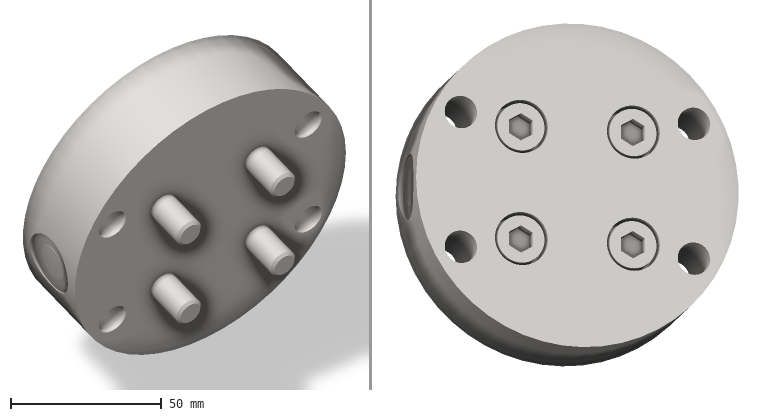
import cadquery as cq
import math

disc_diameter = 110.0
disc_thickness = 30.0

mount_hole_diameter = 11.0
mount_circle_radius = 45.9
mount_angle = 30.0

screw_spacing = 38.2
shank_diameter = 10.0
shank_projection = 15.6
shank_chamfer = 1.0
head_diameter = 16.1
head_recess = 0.7
counterbore_diameter = 18.0
head_height = 10.0
hex_across_flats = 8.0
hex_depth = 5.0

spotface_diameter = 22.0
spotface_depth = 1.5
plug_diameter = 13.1
plug_proud = 0.1

mount_y = mount_circle_radius * math.cos(math.radians(mount_angle))
mount_z = mount_circle_radius * math.sin(math.radians(mount_angle))
screw_offset = screw_spacing / 2
counterbore_depth = head_recess + head_height
shank_length = disc_thickness - counterbore_depth + shank_projection
hex_across_corners = hex_across_flats / math.cos(math.pi / 6)


def four_corners(y, z):
    """Corners of a rectangle centred on the disc axis."""
    return [(side_y * y, side_z * z) for side_y in (-1, 1) for side_z in (-1, 1)]


def cylinder(start, direction, diameter, length):
    """Solid cylinder from a start point along a direction."""
    solid = cq.Solid.makeCylinder(diameter / 2, length, cq.Vector(*start), cq.Vector(*direction))
    return cq.Workplane(solid)


def make_disc():
    """Round disc with its four through holes."""
    disc = cq.Workplane("YZ").circle(disc_diameter / 2).extrude(disc_thickness)
    mount_points = four_corners(mount_y, mount_z)
    holes = cq.Workplane("YZ").pushPoints(mount_points).circle(mount_hole_diameter / 2).extrude(disc_thickness)
    return disc.cut(holes)


def add_screw(body, y, z):
    """Sink a socket head into the face at X = 0 and add the shank end on the far face."""
    start = (0, y, z)
    along_x = (1, 0, 0)
    gap = cylinder(start, along_x, counterbore_diameter, counterbore_depth)
    head = cylinder((head_recess, y, z), along_x, head_diameter, head_height)
    socket = (
        cq.Workplane("YZ")
        .center(y, z)
        .transformed(rotate=(0, 0, 90))
        .polygon(6, hex_across_corners)
        .extrude(head_recess + hex_depth)
    )
    shank_start = (counterbore_depth, y, z)
    shank = cylinder(shank_start, along_x, shank_diameter, shank_length).faces(">X").chamfer(shank_chamfer)
    return body.cut(gap.cut(head)).cut(socket).union(shank)


def add_side_port(body, side):
    """Cut a spotface into the rim and leave the port plug standing in it."""
    floor = disc_diameter / 2 - spotface_depth
    start = (disc_thickness / 2, side * floor, 0)
    outward = (0, side, 0)
    spotface = cylinder(start, outward, spotface_diameter, spotface_depth)
    plug = cylinder(start, outward, plug_diameter, plug_proud)
    return body.cut(spotface.cut(plug))


result = make_disc()
for screw_y, screw_z in four_corners(screw_offset, screw_offset):
    result = add_screw(result, screw_y, screw_z)
for rim_side in (-1, 1):
    result = add_side_port(result, rim_side)